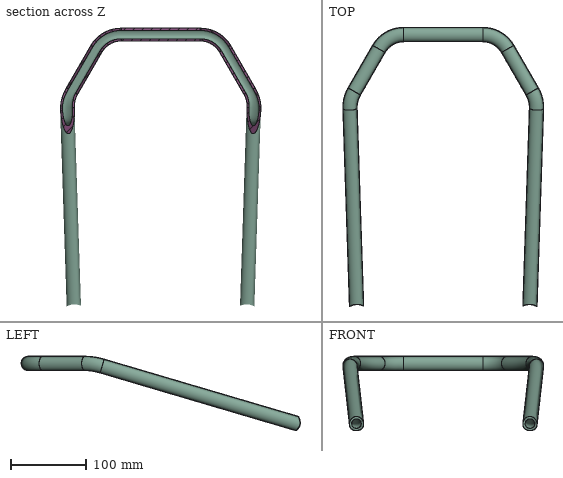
import cadquery as cq
import math

tube_diameter = 19.05
wall = 3.175
bend_radius = 38.1

bar_length = 105.0
shoulder_length = 65.15
shoulder_angle = 60.0
leg_drop_angle = 16.43
leg_toe_in_angle = 1.9
bar_to_saddle = 356.94

post_radius = 14.3
post_offset = 0.6
post_lean_angle = 9.0

tube_radius = tube_diameter / 2
bore_radius = tube_radius - wall


def straight_tube(start, direction, length):
    plane = cq.Plane(origin=start, normal=direction)
    return cq.Workplane(plane).circle(tube_radius).circle(bore_radius).extrude(length)


def tube_bend(start, direction_in, direction_out):
    """Bend tangent to both directions; returns the bend and the centre of its far end."""
    angle = direction_in.getAngle(direction_out)
    bend_axis = direction_in.cross(direction_out).normalized()
    towards_centre = bend_axis.cross(direction_in)
    plane = cq.Plane(origin=start, xDir=towards_centre, normal=direction_in)
    bend = (
        cq.Workplane(plane)
        .circle(tube_radius)
        .circle(bore_radius)
        .revolve(math.degrees(angle), (bend_radius, 0), (bend_radius, 1))
    )
    tangent_length = bend_radius * math.tan(angle / 2)
    end = start + (direction_in + direction_out) * tangent_length
    return bend, end


def leg_tube(start, direction, side):
    """Leg whose free end is saddled to sit against a leaning round post."""
    length_to_saddle = (-bar_to_saddle - start.y) / direction.y
    saddle_center = start + direction * length_to_saddle
    leg = straight_tube(start, direction, length_to_saddle + post_radius)

    lean = math.radians(post_lean_angle)
    post_axis = cq.Vector(0, -math.sin(lean), math.cos(lean))
    away_from_bar = cq.Vector(0, -math.cos(lean), -math.sin(lean))
    inboard = cq.Vector(-side, 0, 0)
    post_length = 4 * tube_diameter
    post_middle = saddle_center + inboard * post_offset + away_from_bar * post_radius
    post_base = post_middle - post_axis * (post_length / 2)
    post = cq.Workplane(cq.Plane(origin=post_base, normal=post_axis)).circle(post_radius).extrude(post_length)
    return leg.cut(post)


crossbar = straight_tube(cq.Vector(-bar_length / 2, 0, 0), cq.Vector(1, 0, 0), bar_length)
bodies = [crossbar.val()]

shoulder_turn = math.radians(shoulder_angle)
toe_in_run = math.tan(math.radians(leg_toe_in_angle))
drop_run = math.tan(math.radians(leg_drop_angle))
for side in (-1, 1):
    bar_direction = cq.Vector(side, 0, 0)
    shoulder_direction = cq.Vector(side * math.cos(shoulder_turn), -math.sin(shoulder_turn), 0)
    leg_direction = cq.Vector(-side * toe_in_run, -1, -drop_run).normalized()

    bar_end = bar_direction * (bar_length / 2)
    upper_bend, shoulder_start = tube_bend(bar_end, bar_direction, shoulder_direction)
    shoulder = straight_tube(shoulder_start, shoulder_direction, shoulder_length)
    shoulder_end = shoulder_start + shoulder_direction * shoulder_length
    lower_bend, leg_start = tube_bend(shoulder_end, shoulder_direction, leg_direction)
    leg = leg_tube(leg_start, leg_direction, side)
    bodies += [upper_bend.val(), shoulder.val(), lower_bend.val(), leg.val()]

result = cq.Compound.makeCompound(bodies)